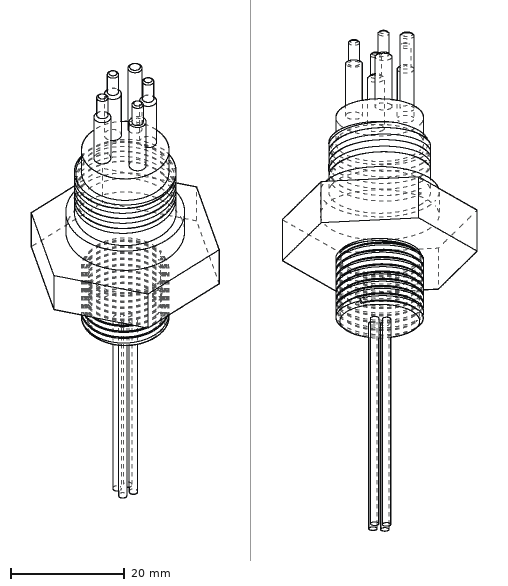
import cadquery as cq
import math

WIRE_LENGTH = 40.0
SHANK_LENGTH = 12.7
HEX_THICKNESS = 8.0
COLLAR_HEIGHT = 4.5
THREAD_HEIGHT = 9.5
INSERT_HEIGHT = 5.0
PIN_LENGTH = 14.5

SHANK_BOTTOM = WIRE_LENGTH
HEX_BOTTOM = SHANK_BOTTOM + SHANK_LENGTH
COLLAR_BOTTOM = HEX_BOTTOM + HEX_THICKNESS
THREAD_BOTTOM = COLLAR_BOTTOM + COLLAR_HEIGHT
INSERT_BOTTOM = THREAD_BOTTOM + THREAD_HEIGHT
PIN_BOTTOM = INSERT_BOTTOM + INSERT_HEIGHT

HEX_ACROSS_FLATS = 30.0
COLLAR_DIAMETER = 21.0
THREAD_DIAMETER = 18.0
INSERT_DIAMETER = 15.5

GROOVE_PITCH = 2.35
GROOVE_DEPTH = 0.45
GROOVE_MOUTH = 1.1
GROOVE_START = 2.6
GROOVE_START_ANGLE = 163.0
SEAM_ANGLE = 110.0

SHANK_DIAMETER = 15.5
SHANK_CHAMFER = 0.7
NECK_DIAMETER = 14.64
NECK_LENGTH = 0.4
SHANK_PITCH = 25.4 / 18
SHANK_GROOVE_DEPTH = 0.75
SHANK_GROOVE_MOUTH = 1.08
SHANK_GROOVE_FLOOR = 0.1
SHANK_GROOVE_START = 0.7
SHANK_GROOVE_ANGLE = 10.0

PIN_PITCH = 6.5
PIN_DIAMETER = 3.0
PIN_TIP_DIAMETER = 2.0
PIN_TIP_LENGTH = 4.35
TIP_CHAMFER = 0.3
KEY_PIN_DIAMETER = 2.5
KEY_PIN_OFFSET = 6.0

WIRE_DIAMETER = 1.5
WIRE_OFFSET = 1.5
WIRE_EMBED = 1.0

OVERCUT = 0.05


def cylinder(diameter, height, bottom, x=0.0, y=0.0):
    """Upright cylinder standing on the given level."""
    return cq.Workplane("XY", origin=(x, y, bottom)).circle(diameter / 2).extrude(height)


def helical_cutter(profile, diameter, pitch, height, bottom, angle):
    """Right-handed sweep of a radial profile, starting at the given level and angle."""
    path = cq.Workplane(cq.Wire.makeHelix(pitch, height, diameter / 2))
    cutter = profile.sweep(path, isFrenet=True)
    return cutter.rotate((0, 0, 0), (0, 0, 1), angle).translate((0, 0, bottom))


def round_groove_profile():
    """Arc-bottomed section of the coupling thread groove."""
    radius = THREAD_DIAMETER / 2
    half_mouth = GROOVE_MOUTH / 2
    return (
        cq.Workplane("XZ")
        .moveTo(radius + OVERCUT, -half_mouth)
        .threePointArc((radius - GROOVE_DEPTH, 0), (radius + OVERCUT, half_mouth))
        .close()
    )


def vee_groove_profile():
    """V section of the shank thread groove, with a narrow flat floor."""
    radius = SHANK_DIAMETER / 2
    half_floor = SHANK_GROOVE_FLOOR / 2
    half_mouth = SHANK_GROOVE_MOUTH / 2
    flare = (half_mouth - half_floor) * OVERCUT / SHANK_GROOVE_DEPTH
    return cq.Workplane("XZ").polyline([
        (radius - SHANK_GROOVE_DEPTH, -half_floor),
        (radius + OVERCUT, -half_mouth - flare),
        (radius + OVERCUT, half_mouth + flare),
        (radius - SHANK_GROOVE_DEPTH, half_floor),
    ]).close()


def coupling_thread():
    """Cylinder with a coarse groove that starts abruptly and runs out at the top."""
    body = cylinder(THREAD_DIAMETER, THREAD_HEIGHT, THREAD_BOTTOM).rotate((0, 0, 0), (0, 0, 1), SEAM_ANGLE)
    groove_height = THREAD_HEIGHT - GROOVE_START + GROOVE_MOUTH
    groove = helical_cutter(
        round_groove_profile(), THREAD_DIAMETER, GROOVE_PITCH, groove_height,
        THREAD_BOTTOM + GROOVE_START, GROOVE_START_ANGLE,
    )
    return body.cut(groove)


def threaded_shank():
    """Fine-threaded shank with a chamfered end and a short neck under the hexagon."""
    threaded_length = SHANK_LENGTH - NECK_LENGTH
    body = cylinder(SHANK_DIAMETER, threaded_length, SHANK_BOTTOM)
    body = body.faces("<Z").chamfer(SHANK_CHAMFER)
    groove_height = threaded_length - SHANK_GROOVE_START + SHANK_GROOVE_MOUTH / 2
    groove = helical_cutter(
        vee_groove_profile(), SHANK_DIAMETER, SHANK_PITCH, groove_height,
        SHANK_BOTTOM + SHANK_GROOVE_START, SHANK_GROOVE_ANGLE,
    )
    neck = cylinder(NECK_DIAMETER, NECK_LENGTH, SHANK_BOTTOM + threaded_length)
    return body.cut(groove).union(neck)


def contact_pin(x, y, bevelled):
    """Stepped contact pin; the shoulder is bevelled down from the tip or left square."""
    body_length = PIN_LENGTH - PIN_TIP_LENGTH
    body_radius = PIN_DIAMETER / 2
    tip_radius = PIN_TIP_DIAMETER / 2
    shoulder_drop = body_radius - tip_radius if bevelled else 0.0
    profile = (
        cq.Workplane("XZ")
        .lineTo(body_radius, 0)
        .lineTo(body_radius, body_length - shoulder_drop)
        .lineTo(tip_radius, body_length)
        .lineTo(tip_radius, PIN_LENGTH - TIP_CHAMFER)
        .lineTo(tip_radius - TIP_CHAMFER, PIN_LENGTH)
        .lineTo(0, PIN_LENGTH)
        .close()
    )
    return profile.revolve(360, (0, 0), (0, 1)).translate((x, y, PIN_BOTTOM))


def key_pin():
    """Plain chamfered pin on the +Y side."""
    pin = cylinder(KEY_PIN_DIAMETER, PIN_LENGTH, PIN_BOTTOM, 0, KEY_PIN_OFFSET)
    return pin.faces(">Z").chamfer(TIP_CHAMFER)


def hexagon():
    """Hexagonal flange with its corners on the X axis."""
    across_corners = HEX_ACROSS_FLATS / math.cos(math.pi / 6)
    return cq.Workplane("XY", origin=(0, 0, HEX_BOTTOM)).polygon(6, across_corners).extrude(HEX_THICKNESS)


result = hexagon()
result = result.union(threaded_shank())
result = result.union(cylinder(COLLAR_DIAMETER, COLLAR_HEIGHT, COLLAR_BOTTOM))
result = result.union(coupling_thread())
result = result.union(cylinder(INSERT_DIAMETER, INSERT_HEIGHT, INSERT_BOTTOM))
result = result.union(key_pin())

for x_side in (-1, 1):
    for y_side in (-1, 1):
        square_shoulder = x_side > 0 and y_side < 0
        pin = contact_pin(x_side * PIN_PITCH / 2, y_side * PIN_PITCH / 2, not square_shoulder)
        result = result.union(pin)

for x_step, y_step in ((1, 0), (0, 1), (-1, 0), (0, -1)):
    wire = cylinder(WIRE_DIAMETER, WIRE_LENGTH + WIRE_EMBED, 0, x_step * WIRE_OFFSET, y_step * WIRE_OFFSET)
    result = result.union(wire)